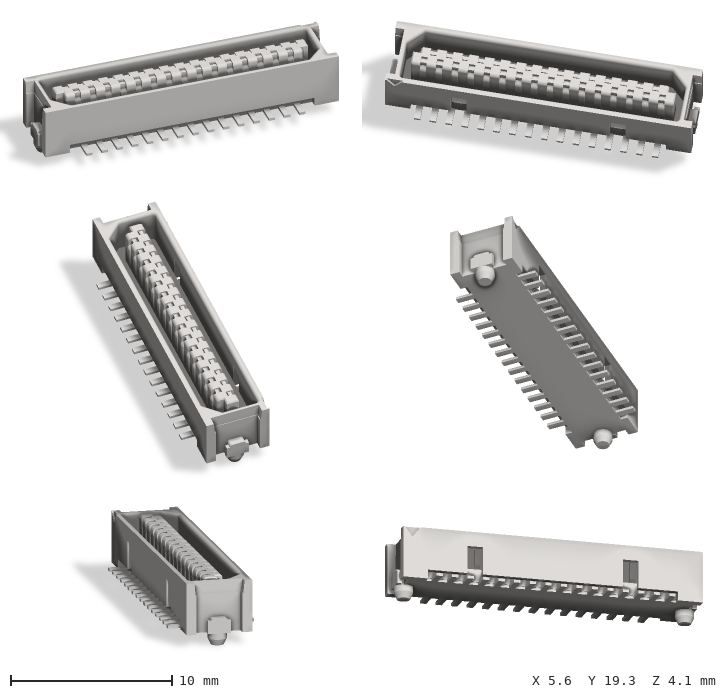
import cadquery as cq

HOUSING_WIDTH = 4.2
HOUSING_LENGTH = 19.3
HOUSING_TOP = 3.3

CAVITY_WIDTH = 3.4
CAVITY_LENGTH = 17.6
CAVITY_FLOOR = 1.0
CAVITY_KEY_CHAMFER = 1.0
CAVITY_CORNER_RADIUS = 0.2
LIP_RADIUS = 0.2

END_RECESS_WIDTH = 2.95
END_FLARE_WIDTH = 3.05
END_RECESS_TOP_WIDTH = 3.2
END_RECESS_DEPTH = 0.5
END_FLARE_DEPTH = 0.53
END_RECESS_TOP_DEPTH = 0.56
END_FLARE_START = 2.5

SIDE_RECESS_LENGTH = 16.1
SIDE_RECESS_HEIGHT = 0.58
FOOT_STEP = 0.05

WINDOW_SPACING = 10.0
WINDOW_LENGTH = 1.0
WINDOW_TOP = 2.35

NOTCH_LENGTH = 1.0
NOTCH_HEIGHT = 0.65
NOTCH_DEPTH = 0.12
NOTCH_CENTER_Y = 9.05

ISLAND_HALF_WIDTH = 0.67
ISLAND_STEP_X = 0.2
ISLAND_LONG_HALF = 8.28
ISLAND_SHORT_HALF = 7.8
ISLAND_TOP = HOUSING_TOP
ISLAND_EDGE_RADIUS = 0.23
ISLAND_END_CHAMFER = 0.08
ISLAND_CORNER_RADIUS = 0.14

PITCH = 1.0
LEFT_COUNT = 16
RIGHT_COUNT = 15
LEAD_WIDTH = 0.4
LEAD_THICKNESS = 0.18
LEAD_SPAN = 5.6
LEAD_EMBEDMENT = 0.4
CONTACT_OUTER = 0.75
CONTACT_INNER = 0.2
CONTACT_SLOT_INNER = 0.09
CONTACT_SLOT_DEPTH = 0.2
CONTACT_TOP = 3.2
CONTACT_BEND_TOP = 2.85
CONTACT_BEND_RADIUS = 0.31
CONTACT_FOOT = 1.4
CONTACT_FOOT_BEVEL = 0.18

BOSS_HALF_WIDTH = 0.735
BOSS_SHOULDER_TOP = 0.82
BOSS_PLATE_THICKNESS = 0.3
BOSS_NECK_HALF_WIDTH = 0.53
BOSS_TOP = 1.0
BOSS_EDGE_RADIUS = BOSS_TOP - BOSS_SHOULDER_TOP
PEG_RADIUS = 0.6
PEG_TIP_RADIUS = 0.41
PEG_LENGTH = 0.8
PEG_TAPER_LENGTH = 0.4

FULL_TURN = 360
HALF_TURN = FULL_TURN / 2

HALF_WIDTH = HOUSING_WIDTH / 2
HALF_LENGTH = HOUSING_LENGTH / 2
CAVITY_HALF_WIDTH = CAVITY_WIDTH / 2
CAVITY_HALF_LENGTH = CAVITY_LENGTH / 2
WALL = HALF_WIDTH - CAVITY_HALF_WIDTH


def block(x0, x1, y0, y1, z0, z1):
    """Axis-aligned box between two opposite corners."""
    return cq.Workplane("XY").box(x1 - x0, y1 - y0, z1 - z0, centered=False).translate((x0, y0, z0))


def half_turned(item):
    """The item turned half a revolution about Z, to the opposite end or side."""
    return item.rotate((0, 0, 0), (0, 0, 1), HALF_TURN)


def row_positions(count):
    """Y positions of a row of contacts centred on the part."""
    return [(i - (count - 1) / 2) * PITCH for i in range(count)]


def make_shell():
    """Open-topped box with two keyed corners and a rounded lip."""
    shell = block(-HALF_WIDTH, HALF_WIDTH, -HALF_LENGTH, HALF_LENGTH, 0, HOUSING_TOP)
    cavity = (
        block(
            -CAVITY_HALF_WIDTH, CAVITY_HALF_WIDTH,
            -CAVITY_HALF_LENGTH, CAVITY_HALF_LENGTH,
            CAVITY_FLOOR, HOUSING_TOP,
        )
        .edges("|Z and >X").chamfer(CAVITY_KEY_CHAMFER)
        .edges("|Z").fillet(CAVITY_CORNER_RADIUS)
    )
    lip = cq.selectors.BoxSelector(
        (-HALF_WIDTH + WALL / 2, -CAVITY_HALF_LENGTH - WALL / 2, HOUSING_TOP - WALL / 2),
        (HALF_WIDTH - WALL / 2, CAVITY_HALF_LENGTH + WALL / 2, HOUSING_TOP + WALL / 2),
    )
    return shell.cut(cavity).edges(lip).fillet(LIP_RADIUS)


def make_end_recess():
    """Cutter for the +Y end: a straight channel below a slightly wider flare."""
    channel = block(
        -END_RECESS_WIDTH / 2, END_RECESS_WIDTH / 2,
        HALF_LENGTH - END_RECESS_DEPTH, HALF_LENGTH,
        0, END_FLARE_START,
    )
    flare = (
        cq.Workplane("XY", origin=(0, HALF_LENGTH, END_FLARE_START))
        .rect(END_FLARE_WIDTH, 2 * END_FLARE_DEPTH)
        .workplane(offset=HOUSING_TOP - END_FLARE_START)
        .rect(END_RECESS_TOP_WIDTH, 2 * END_RECESS_TOP_DEPTH)
        .loft()
    )
    return channel.union(flare)


def make_side_recess():
    """Cutter for the foot of the -X side, slightly deeper at lead height."""
    half = SIDE_RECESS_LENGTH / 2
    upper = block(-HALF_WIDTH, -CAVITY_HALF_WIDTH, -half, half, LEAD_THICKNESS, SIDE_RECESS_HEIGHT)
    lower = block(-HALF_WIDTH, -CAVITY_HALF_WIDTH + FOOT_STEP, -half, half, 0, LEAD_THICKNESS)
    return upper.union(lower)


def make_windows():
    """Cutter for the two windows through the -X wall, open down to the foot recess."""
    windows = cq.Workplane("XY")
    for center in (-WINDOW_SPACING / 2, WINDOW_SPACING / 2):
        windows = windows.union(
            block(
                -HALF_WIDTH, -CAVITY_HALF_WIDTH,
                center - WINDOW_LENGTH / 2, center + WINDOW_LENGTH / 2,
                SIDE_RECESS_HEIGHT, WINDOW_TOP,
            )
        )
    return windows


def make_pin_one_notch():
    """Triangular pocket cutter in the -X face at the +Y end."""
    return (
        cq.Workplane("YZ", origin=(-HALF_WIDTH, NOTCH_CENTER_Y, HOUSING_TOP))
        .polyline([(-NOTCH_LENGTH / 2, 0), (NOTCH_LENGTH / 2, 0), (0, -NOTCH_HEIGHT)])
        .close()
        .extrude(NOTCH_DEPTH)
    )


def make_island_part(inner_x, half_length):
    """-X side of the island out to inner_x: bevelled top, rounded outer edge and corners."""
    body = block(-ISLAND_HALF_WIDTH, inner_x, -half_length, half_length, CAVITY_FLOOR, ISLAND_TOP)
    rounded_corners = body.edges("|Z and <X").fillet(ISLAND_CORNER_RADIUS)
    rounded_top = (
        body.edges(">Z and <X").fillet(ISLAND_EDGE_RADIUS)
        .faces(">Z").edges("|X or >X").chamfer(ISLAND_END_CHAMFER)
    )
    return rounded_top.intersect(rounded_corners)


def make_island():
    """Raised contact carrier, longer on the -X side than on the +X side."""
    long_side = make_island_part(ISLAND_STEP_X, ISLAND_LONG_HALF)
    short_side = half_turned(make_island_part(0, ISLAND_SHORT_HALF))
    filler_half = ISLAND_SHORT_HALF - ISLAND_END_CHAMFER
    filler = block(0, ISLAND_STEP_X, -filler_half, filler_half, CAVITY_FLOOR, ISLAND_TOP)
    return long_side.union(short_side).union(filler)


def make_contact_slot():
    """Cutter for one -X side contact slot: shallow on top, open down the side, centred on y = 0."""
    half = LEAD_WIDTH / 2
    slot_floor = ISLAND_TOP - CONTACT_SLOT_DEPTH
    top = block(-CONTACT_OUTER, -CONTACT_SLOT_INNER, -half, half, slot_floor, ISLAND_TOP)
    side = block(-CONTACT_OUTER, -CONTACT_INNER, -half, half, CONTACT_FOOT, ISLAND_TOP)
    return top.union(side)


def make_contact():
    """One -X side contact blade and its solder lead, centred on y = 0."""
    bend_x = -CONTACT_OUTER + CONTACT_BEND_RADIUS
    blade = (
        cq.Workplane("XZ", origin=(0, LEAD_WIDTH / 2, 0))
        .moveTo(-CONTACT_INNER, CONTACT_FOOT)
        .lineTo(-CONTACT_INNER, CONTACT_TOP)
        .lineTo(bend_x, CONTACT_TOP)
        .lineTo(bend_x, CONTACT_BEND_TOP)
        .radiusArc((-CONTACT_OUTER, CONTACT_BEND_TOP - CONTACT_BEND_RADIUS), -CONTACT_BEND_RADIUS)
        .lineTo(-CONTACT_OUTER, CONTACT_FOOT + CONTACT_FOOT_BEVEL)
        .lineTo(-ISLAND_HALF_WIDTH, CONTACT_FOOT)
        .close()
        .extrude(LEAD_WIDTH)
    )
    lead = block(
        -LEAD_SPAN / 2, -CAVITY_HALF_WIDTH + LEAD_EMBEDMENT,
        -LEAD_WIDTH / 2, LEAD_WIDTH / 2,
        0, LEAD_THICKNESS,
    )
    return blade.union(lead)


def make_end_boss():
    """T-shaped boss on the +Y end wall with its tapered locating peg."""
    plate = block(
        -BOSS_HALF_WIDTH, BOSS_HALF_WIDTH,
        HALF_LENGTH - BOSS_PLATE_THICKNESS, HALF_LENGTH,
        0, BOSS_SHOULDER_TOP,
    )
    neck = block(
        -BOSS_NECK_HALF_WIDTH, BOSS_NECK_HALF_WIDTH,
        HALF_LENGTH - END_RECESS_TOP_DEPTH, HALF_LENGTH,
        0, BOSS_TOP,
    ).edges(">Z and |Y").fillet(BOSS_EDGE_RADIUS)
    peg_straight = PEG_LENGTH - PEG_TAPER_LENGTH
    peg = (
        cq.Workplane("XZ", origin=(0, HALF_LENGTH - PEG_RADIUS, 0))
        .polyline([
            (0, 0),
            (PEG_RADIUS, 0),
            (PEG_RADIUS, -peg_straight),
            (PEG_TIP_RADIUS, -PEG_LENGTH),
            (0, -PEG_LENGTH),
        ])
        .close()
        .revolve(FULL_TURN, (0, 0, 0), (0, 1, 0))
    )
    return plate.union(neck).union(peg)


def repeat_in_row(item, count, turn_angle):
    """Copies of an item along a contact row; a half turn about Z puts the row on the +X side."""
    copies = [item.val().translate((0, y, 0)) for y in row_positions(count)]
    row = cq.Compound.makeCompound(copies)
    return cq.Workplane("XY").newObject([row]).rotate((0, 0, 0), (0, 0, 1), turn_angle)


shell = make_shell()
shell = shell.cut(make_pin_one_notch())
shell = shell.cut(make_end_recess()).cut(half_turned(make_end_recess()))
shell = shell.cut(make_side_recess()).cut(half_turned(make_side_recess()))
shell = shell.cut(make_windows())

island = make_island()
for count, turn in ((LEFT_COUNT, 0), (RIGHT_COUNT, HALF_TURN)):
    island = island.cut(repeat_in_row(make_contact_slot(), count, turn))
    island = island.union(repeat_in_row(make_contact(), count, turn))

result = shell.union(island)
result = result.union(make_end_boss()).union(half_turned(make_end_boss()))